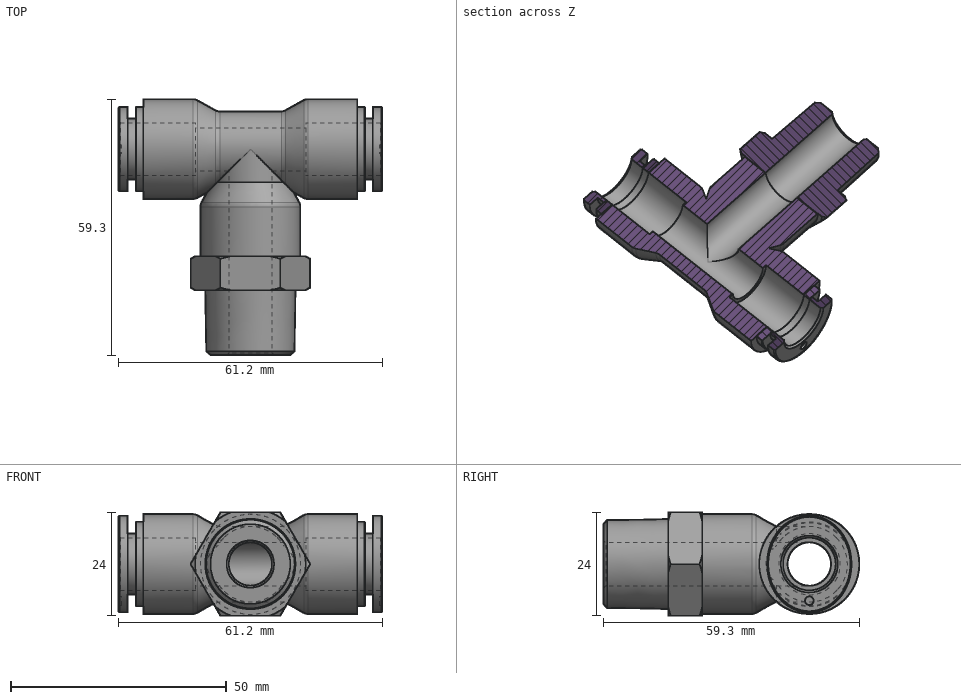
import cadquery as cq
import math

socket_diameter = 23.2
neck_diameter = 17.5
flow_diameter = 10.0
port_length = 24.8
cone_start = 7.65
cone_end = 12.8
flare_blend_radius = 2.0
edge_margin = 0.1

overall_run = 61.2
tube_diameter = 12.2
collar_bore = 12.18
sleeve_diameter = 14.2
flange_thickness = 2.2
flange_width = 19.6
flange_height = 22.4
flange_chamfer = 0.3
tube_lead_in = 0.5
marker_diameter = 2.0
marker_depth = 0.7
marker_drop = 8.5
collar_diameter = 19.6
collar_thickness = 1.8
collar_chamfer = 0.2

stem_end = 47.7
hex_sides = 6
hex_flats = 24.0
hex_thickness = 7.9
hex_chamfer_angle = 30.0
hex_face_diameter = 25.6
thread_root_diameter = 20.96
thread_tip_diameter = 20.5
thread_chamfer_length = 0.9
thread_end_diameter = 18.5
stem_lead_in = 0.5

flange_face = overall_run / 2
flange_back = flange_face - flange_thickness
collar_face = port_length + collar_thickness
tube_stop = cone_end
hex_corners = hex_flats / math.cos(math.radians(180 / hex_sides))


def cylinder_x(diameter, start, end):
    """Cylinder on the X axis between two X positions."""
    return cq.Workplane("YZ", origin=(start, 0, 0)).circle(diameter / 2).extrude(end - start)


def cylinder_leg(diameter, start, end):
    """Cylinder on the leg axis between two distances from the origin towards -Y."""
    return cq.Workplane("XZ", origin=(0, -start, 0)).circle(diameter / 2).extrude(end - start)


def port_branch(blend_neck):
    """Neck, flare and socket of one port, pointing along +X from the origin."""
    profile = (
        cq.Workplane("XY")
        .lineTo(0, neck_diameter / 2)
        .lineTo(cone_start, neck_diameter / 2)
        .lineTo(cone_end, socket_diameter / 2)
        .lineTo(port_length, socket_diameter / 2)
        .lineTo(port_length, 0)
        .close()
    )
    branch = profile.revolve(360, (0, 0, 0), (1, 0, 0))
    blend_positions = [cone_end]
    if blend_neck:
        blend_positions.append(cone_start)
    for position in blend_positions:
        edge_box = cq.selectors.BoxSelector(
            (position - edge_margin, -socket_diameter, -socket_diameter),
            (position + edge_margin, socket_diameter, socket_diameter),
            boundingbox=True,
        )
        branch = branch.edges(edge_box).fillet(flare_blend_radius)
    return branch


def make_tee_body():
    run_port = port_branch(blend_neck=True)
    opposite_port = run_port.mirror("YZ")
    leg_port = port_branch(blend_neck=False).rotate((0, 0, 0), (0, 0, 1), -90)
    body = run_port.union(opposite_port).union(leg_port)
    body = body.cut(cylinder_x(flow_diameter, -port_length, port_length))
    body = body.cut(cylinder_leg(flow_diameter, 0, port_length))
    for side in (-1, 1):
        body = body.cut(cylinder_x(tube_diameter, side * tube_stop, side * port_length))
    return body


def make_collar():
    """Guide collar seated on the +X port face."""
    collar = cylinder_x(collar_diameter, port_length, collar_face)
    collar = collar.faces(">X").edges().chamfer(collar_chamfer)
    return collar.cut(cylinder_x(collar_bore, port_length, collar_face))


def make_sleeve():
    """Release sleeve seated on the +X collar, with its oval push flange outermost."""
    flange = (
        cq.Workplane("YZ", origin=(flange_back, 0, 0))
        .ellipse(flange_width / 2, flange_height / 2)
        .extrude(flange_thickness)
        .faces(">X").edges().chamfer(flange_chamfer)
    )
    sleeve = flange.union(cylinder_x(sleeve_diameter, collar_face, flange_back))
    sleeve = sleeve.cut(cylinder_x(tube_diameter, collar_face, flange_face))
    sleeve = sleeve.faces(">X").edges("%CIRCLE").chamfer(tube_lead_in)
    marker = (
        cq.Workplane("YZ", origin=(flange_face - marker_depth, 0, -marker_drop))
        .circle(marker_diameter / 2)
        .extrude(marker_depth)
    )
    return sleeve.cut(marker)


def make_stem():
    hex_end = port_length + hex_thickness
    nut = (
        cq.Workplane("XZ", origin=(0, -port_length, 0))
        .polygon(hex_sides, hex_corners)
        .extrude(hex_thickness)
    )
    chamfer_reach = (hex_corners - hex_face_diameter) / 2
    chamfer_depth = chamfer_reach * math.tan(math.radians(hex_chamfer_angle))
    corner_cutter = cylinder_leg(hex_corners, port_length, hex_end)
    corner_cutter = corner_cutter.edges().chamfer(chamfer_depth, chamfer_reach)
    nut = nut.intersect(corner_cutter)
    thread = (
        cq.Workplane("XY")
        .moveTo(0, -hex_end)
        .lineTo(thread_root_diameter / 2, -hex_end)
        .lineTo(thread_tip_diameter / 2, -stem_end + thread_chamfer_length)
        .lineTo(thread_end_diameter / 2, -stem_end)
        .lineTo(0, -stem_end)
        .close()
        .revolve(360, (0, 0, 0), (0, 1, 0))
    )
    stem = nut.union(thread).cut(cylinder_leg(flow_diameter, port_length, stem_end))
    bore_mouth = cq.selectors.RadiusNthSelector(0)
    return stem.faces("<Y").edges(bore_mouth).chamfer(stem_lead_in)


tee_body = make_tee_body()
stem = make_stem()
port_parts = []
for right_part in (make_collar(), make_sleeve()):
    left_part = right_part.mirror("YZ")
    port_parts += [right_part.val(), left_part.val()]

result = cq.Compound.makeCompound([tee_body.val(), stem.val(), *port_parts])